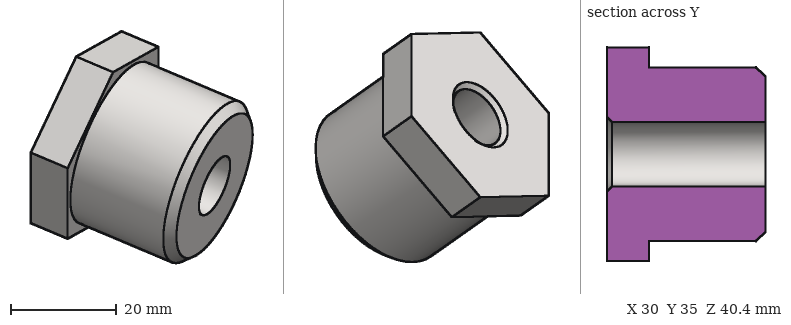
import cadquery as cq

head_corners = 40.4
head_thickness = 8.0
total_length = 30.0

shank_diameter = 32.97
chamfer_length = 1.85
chamfer_depth = 1.78

bore_diameter = 12.05
lead_in_diameter = 14.0
lead_in_depth = (lead_in_diameter - bore_diameter) / 2


def make_head():
    """Hexagonal prism with two corners on the Z axis and flats facing Y."""
    head = cq.Workplane("YZ").polygon(6, head_corners).extrude(head_thickness)
    return head.rotate((0, 0, 0), (1, 0, 0), 90)


def make_shank():
    """Solid of revolution about X, running from the head face to the free end."""
    radius = shank_diameter / 2
    profile = (
        cq.Workplane("XY")
        .moveTo(0, 0)
        .lineTo(0, radius)
        .lineTo(total_length - chamfer_length, radius)
        .lineTo(total_length, radius - chamfer_depth)
        .lineTo(total_length, 0)
        .close()
    )
    return profile.revolve(360, (0, 0, 0), (1, 0, 0))


def make_bore():
    """Through bore and its lead-in cone, as one cutting body."""
    profile = (
        cq.Workplane("XY")
        .moveTo(0, 0)
        .lineTo(0, lead_in_diameter / 2)
        .lineTo(lead_in_depth, bore_diameter / 2)
        .lineTo(total_length, bore_diameter / 2)
        .lineTo(total_length, 0)
        .close()
    )
    return profile.revolve(360, (0, 0, 0), (1, 0, 0))


result = make_head().union(make_shank()).cut(make_bore())